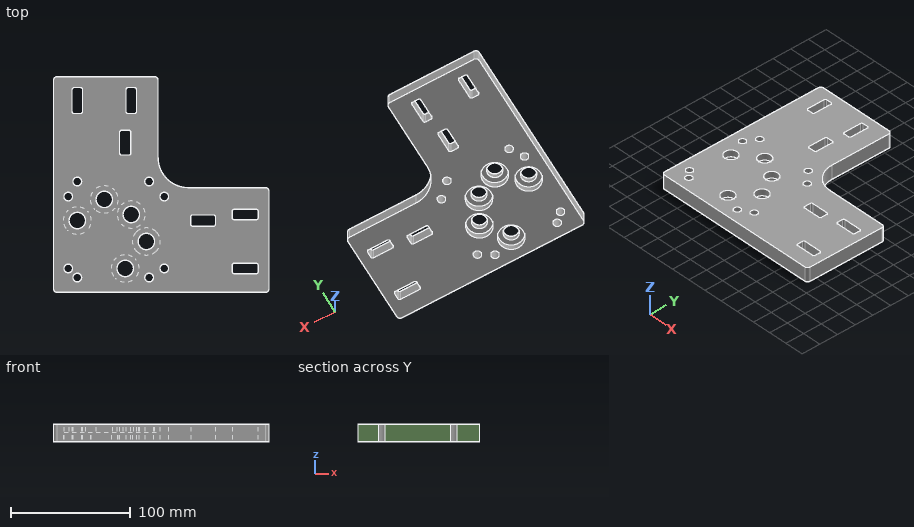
import cadquery as cq

side = 180.0
thickness = 15.0
arm_width = 87.5
corner_radius = 3.0
inner_corner_radius = 25.0

small_diameter = 7.0
large_diameter = 13.5
counterbore_diameter = 23.0
counterbore_depth = 8.0
pattern_near = 20.0
pattern_far = 80.0
pattern_low = 12.5
pattern_high = 92.5
large_near = 42.5
large_far = 77.5
large_middle = 65.0
large_edge = 60.0

end_slot_length = 21.5
end_slot_width = 8.5
end_slot_along = 160.0
inner_slot_length = 20.5
inner_slot_width = 9.2
inner_slot_along = 125.0
slot_corner_radius = 1.5


def mirrored(points):
    """Return the points with their copies across the plate's diagonal."""
    return points + [(y, x) for x, y in points]


def make_plate():
    """L-shaped plate with small outer roundings and a large inner one."""
    plate = (
        cq.Workplane("XY")
        .polyline([
            (0, 0),
            (side, 0),
            (side, arm_width),
            (arm_width, arm_width),
            (arm_width, side),
            (0, side),
        ])
        .close()
        .extrude(thickness)
    )
    inner_edge = cq.selectors.NearestToPointSelector((arm_width, arm_width, thickness / 2))
    vertical = cq.selectors.ParallelDirSelector(cq.Vector(0, 0, 1))
    outer_edges = cq.selectors.SubtractSelector(vertical, inner_edge)
    plate = plate.edges(outer_edges).fillet(corner_radius)
    return plate.edges(inner_edge).fillet(inner_corner_radius)


def round_cutters(points, diameter, height):
    """Cylinders rising from the underside of the plate."""
    return cq.Workplane("XY").pushPoints(points).circle(diameter / 2).extrude(height)


def slot_cutter(x, y, x_size, y_size):
    slot = cq.Workplane("XY").center(x, y).rect(x_size, y_size).extrude(thickness)
    return slot.edges("|Z").fillet(slot_corner_radius)


def cut_slot_pair(plate, along, across, length, width):
    """Cut one slot in the X arm and its mirror image in the Y arm."""
    plate = plate.cut(slot_cutter(along, across, length, width))
    return plate.cut(slot_cutter(across, along, width, length))


result = make_plate()

small_points = mirrored([
    (x, y) for x in (pattern_near, pattern_far) for y in (pattern_low, pattern_high)
])
result = result.cut(round_cutters(small_points, small_diameter, thickness))

large_points = mirrored([(large_near, large_far), (pattern_near, large_edge)])
large_points.append((large_middle, large_middle))
result = result.cut(round_cutters(large_points, large_diameter, thickness))
result = result.cut(round_cutters(large_points, counterbore_diameter, counterbore_depth))

for across in (pattern_near, large_middle):
    result = cut_slot_pair(result, end_slot_along, across, end_slot_length, end_slot_width)
result = cut_slot_pair(result, inner_slot_along, large_edge, inner_slot_length, inner_slot_width)